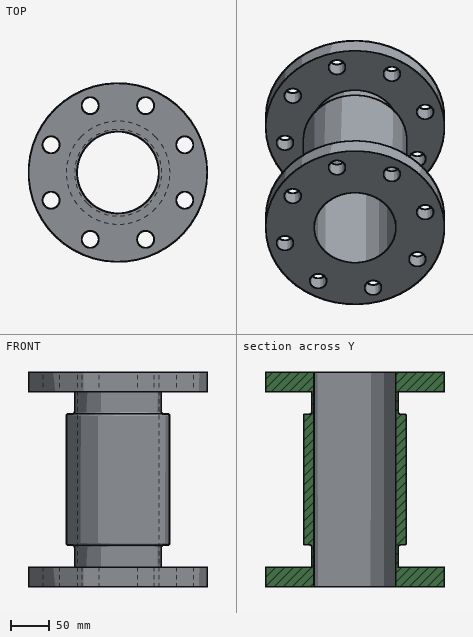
import cadquery as cq

length = 282.0
flange_diameter = 235.0
flange_thickness = 26.0

bore_diameter = 107.2
neck_diameter = 114.2
sleeve_diameter = 136.0
sleeve_length = 172.5
sleeve_edge_radius = 3.0
neck_root_radius = 2.3

bolt_count = 8
bolt_circle_diameter = 190.0
bolt_hole_diameter = 22.0
bolt_spacing_angle = 360.0 / bolt_count


def cylinder(diameter, height, base_z):
    """Upright cylinder on the Z axis, standing on base_z."""
    return cq.Workplane("XY").workplane(offset=base_z).circle(diameter / 2).extrude(height)


def flange(base_z):
    """Round flange disc with its ring of bolt holes."""
    return (
        cylinder(flange_diameter, flange_thickness, base_z)
        .faces(">Z")
        .workplane()
        .polarArray(bolt_circle_diameter / 2, bolt_spacing_angle / 2, 360, bolt_count)
        .hole(bolt_hole_diameter)
    )


neck = cylinder(neck_diameter, length, -length / 2)
sleeve = cylinder(sleeve_diameter, sleeve_length, -sleeve_length / 2)
body = neck.union(sleeve)


def circles_at_sleeve_ends(solid, diameter):
    """Circular edges of the given diameter in the two end planes of the sleeve."""
    tolerance = 0.03
    return solid.edges("%CIRCLE").filter(
        lambda edge: abs(edge.radius() - diameter / 2) < tolerance
        and abs(abs(edge.Center().z) - sleeve_length / 2) < tolerance
    )


body = circles_at_sleeve_ends(body, sleeve_diameter).fillet(sleeve_edge_radius)
body = circles_at_sleeve_ends(body, neck_diameter).fillet(neck_root_radius)

for flange_base_z in (-length / 2, length / 2 - flange_thickness):
    body = body.union(flange(flange_base_z))

result = body.cut(cylinder(bore_diameter, length, -length / 2))